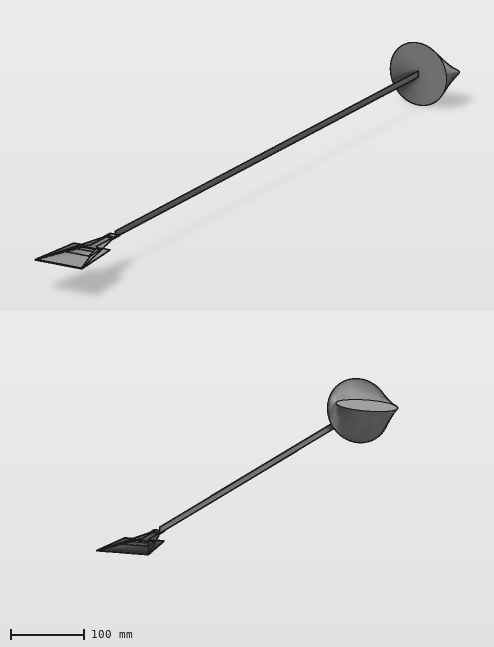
import cadquery as cq

length = 987.0

canopy_diameter = 90.0
canopy_depth = 35.0
canopy_rear_height = 16.0
canopy_front_y = length - canopy_depth

cord_height = 9.0
cord_thickness = 1.0

plate_thickness = 1.0
rim_y = 2.0

outer_bottom_half = 38.0
outer_top_half = 29.0
outer_top_y = 89.0

head_top_y = 150.0
neck_half = 8.0
cap_plug_top_y = 144.0
cap_plug_bottom_y = 138.0
plug_half = 5.0

neck_bottom_y = 128.0
cone_bottom_half = 37.0

stem_top_y = 133.0
flange_top_y = 91.0
disc_top_y = 88.0
disc_half = 16.0
cup_top_y = 83.0

cup_top_half = 16.0
cup_bottom_half = 20.0
cup_bottom_y = 51.0

holder_top_y = 80.0
holder_top_half = 11.0
bulb_top_y = 70.0
bulb_top_half = 13.0
bulb_bottom_half = 18.0

diffuser_bottom_half = 36.0


def flat_plate(half_profile):
    """Plate symmetric about X = 0, from (half width, Y) points running down its right edge."""
    mirrored = [(-x, y) for x, y in reversed(half_profile)]
    return (
        cq.Workplane("XY", origin=(0, 0, -plate_thickness / 2))
        .polyline(half_profile + mirrored)
        .close()
        .extrude(plate_thickness)
    )


def make_canopy():
    front = cq.Plane(origin=(0, canopy_front_y, 0), xDir=(-1, 0, 0), normal=(0, 1, 0))
    radius = canopy_diameter / 2
    return (
        cq.Workplane(front)
        .circle(radius)
        .workplane(offset=canopy_depth)
        .ellipse(radius, canopy_rear_height / 2)
        .loft(ruled=True)
    )


def make_cord():
    cord_length = canopy_front_y - head_top_y
    return cq.Workplane("XY").box(cord_thickness, cord_length, cord_height).translate(
        (0, head_top_y + cord_length / 2, 0)
    )


def make_cap():
    return flat_plate([
        (neck_half, head_top_y),
        (neck_half, cap_plug_top_y),
        (plug_half, cap_plug_top_y),
        (plug_half, cap_plug_bottom_y),
    ])


def make_stem():
    return flat_plate([
        (plug_half, stem_top_y),
        (plug_half, flange_top_y),
        (neck_half, flange_top_y),
        (neck_half, disc_top_y),
        (disc_half, disc_top_y),
        (disc_half, cup_top_y),
    ])


def make_holder():
    return flat_plate([(holder_top_half, holder_top_y), (bulb_top_half, bulb_top_y)])


def make_bulb_plate():
    return flat_plate([(bulb_top_half, bulb_top_y), (bulb_bottom_half, cup_bottom_y)])


def make_cup(holder, bulb_plate):
    outline = flat_plate([(cup_top_half, cup_top_y), (cup_bottom_half, cup_bottom_y)])
    return outline.cut(holder).cut(bulb_plate).solids()


def make_diffuser():
    return flat_plate([(cup_bottom_half, cup_bottom_y), (diffuser_bottom_half, rim_y)])


def make_cone_outline():
    return flat_plate([
        (neck_half, cap_plug_top_y),
        (neck_half, neck_bottom_y),
        (cone_bottom_half, rim_y),
    ])


def make_cone_plate(inner_bodies):
    cone = make_cone_outline()
    for body in inner_bodies:
        cone = cone.cut(body)
    return cone.solids()


def make_outer_plate():
    outline = flat_plate([(outer_top_half, outer_top_y), (outer_bottom_half, 0)])
    return outline.cut(make_cone_outline()).solids()


canopy = make_canopy()
cord = make_cord()
cap = make_cap()
stem = make_stem()
holder = make_holder()
bulb_plate = make_bulb_plate()
cup = make_cup(holder, bulb_plate)
diffuser = make_diffuser()
cone_plate = make_cone_plate([cap, stem, holder, bulb_plate, cup, diffuser])
outer_plate = make_outer_plate()

result = cq.Compound.makeCompound([
    canopy.val(),
    cord.val(),
    cap.val(),
    stem.val(),
    holder.val(),
    bulb_plate.val(),
    cup.val(),
    diffuser.val(),
    cone_plate.val(),
    outer_plate.val(),
])